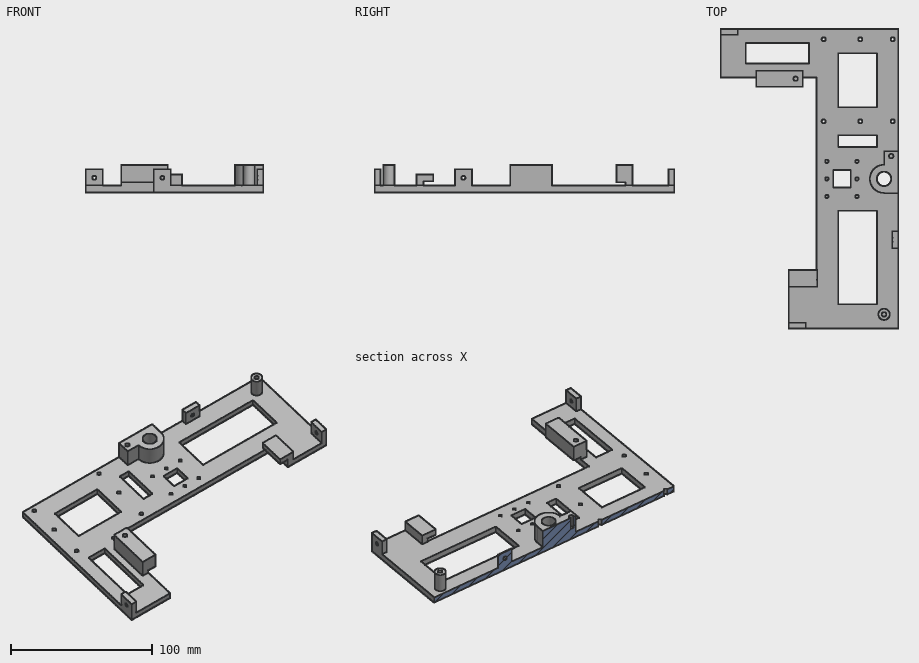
import cadquery as cq


length_x = 125.6
length_y = 211.8
total_height = 19.5
plate_thickness = 5.0
strip_left = 67.6
upper_arm_depth = 34.5
upper_arm_edge = length_y - upper_arm_depth
lower_arm_left = 48.1
lower_arm_depth = 34.5

window_left = 83.2
window_width = 27.3
large_window_bottom = 17.2
large_window_height = 66.0
narrow_window_bottom = 128.5
narrow_window_height = 8.0
upper_window_bottom = 156.6
upper_window_height = 38.0
arm_window_left = 17.9
arm_window_bottom = 187.4
arm_window_width = 44.5
arm_window_height = 14.4

square_center_x = 85.7
square_center_y = 105.8
square_side = 12.2
small_hole_diameter = 2.2
small_hole_spacing_x = 21.3
small_hole_spacing_y = 12.4

board_hole_diameter = 2.7
board_hole_columns = (72.8, 98.7, 121.6)
board_hole_rows = (146.5, 204.5)

tab_width = 12.2
tab_thickness = 4.2
tab_height = 16.5
tab_hole_height = 10.4
tab_hole_diameter = 2.7
side_tab_bottom = 56.6

screw_hole_diameter = 3.2
screw_hole_depth = 10.0

block_left = 25.1
block_bottom = 170.9
block_width = 33.0
block_depth = 11.5
block_underside = 7.2
block_hole_x = 53.0
block_hole_y = 176.6

hook_width = 20.1
hook_outer_y = 29.5
hook_reach = 12.0
hook_top = 12.8
hook_underside = 7.8

boss_x = 115.5
boss_y = 105.8
boss_radius = 10.0
boss_bore_diameter = 10.0
shoulder_top_y = 125.5
shoulder_hole_x = 120.6
shoulder_hole_y = 121.9

post_x = boss_x
post_y = 10.0
post_diameter = 8.0


def box(left, bottom, width, depth, z_low, z_high):
    """Box given by its lower left corner, its plan size and its two levels."""
    size_z = z_high - z_low
    return cq.Workplane("XY").box(width, depth, size_z, centered=False).translate((left, bottom, z_low))


def upright_cylinder(x, y, diameter, z_low, z_high):
    return cq.Workplane("XY", origin=(x, y, z_low)).circle(diameter / 2).extrude(z_high - z_low)


def screw_hole(x, y):
    return upright_cylinder(x, y, screw_hole_diameter, total_height - screw_hole_depth, total_height)


def plate_window(left, bottom, width, depth):
    return box(left, bottom, width, depth, 0, plate_thickness)


def make_plate():
    outline = [
        (lower_arm_left, 0),
        (length_x, 0),
        (length_x, length_y),
        (0, length_y),
        (0, upper_arm_edge),
        (strip_left, upper_arm_edge),
        (strip_left, lower_arm_depth),
        (lower_arm_left, lower_arm_depth),
    ]
    plate = cq.Workplane("XY").polyline(outline).close().extrude(plate_thickness)
    for bottom, height in (
        (large_window_bottom, large_window_height),
        (narrow_window_bottom, narrow_window_height),
        (upper_window_bottom, upper_window_height),
    ):
        plate = plate.cut(plate_window(window_left, bottom, window_width, height))
    plate = plate.cut(plate_window(arm_window_left, arm_window_bottom, arm_window_width, arm_window_height))
    square_left = square_center_x - square_side / 2
    square_bottom = square_center_y - square_side / 2
    plate = plate.cut(plate_window(square_left, square_bottom, square_side, square_side))

    for x in board_hole_columns:
        for y in board_hole_rows:
            plate = plate.cut(upright_cylinder(x, y, board_hole_diameter, 0, plate_thickness))
    for column in (-0.5, 0.5):
        for row in (-1, 0, 1):
            x = square_center_x + column * small_hole_spacing_x
            y = square_center_y + row * small_hole_spacing_y
            plate = plate.cut(upright_cylinder(x, y, small_hole_diameter, 0, plate_thickness))
    return plate


def end_tab(left, bottom):
    """Tab standing across Y, its hole running along Y."""
    tab = box(left, bottom, tab_width, tab_thickness, 0, tab_height)
    hole_plane = cq.Workplane("XZ", origin=(left + tab_width / 2, bottom, tab_hole_height))
    return tab.cut(hole_plane.circle(tab_hole_diameter / 2).extrude(-tab_thickness))


def side_tab():
    """Tab standing on the right edge, its hole running along X."""
    left = length_x - tab_thickness
    tab = box(left, side_tab_bottom, tab_thickness, tab_width, 0, tab_height)
    hole_plane = cq.Workplane("YZ", origin=(left, side_tab_bottom + tab_width / 2, tab_hole_height))
    return tab.cut(hole_plane.circle(tab_hole_diameter / 2).extrude(tab_thickness))


def overhanging_block():
    block = box(block_left, block_bottom, block_width, block_depth, block_underside, total_height)
    foot_depth = block_bottom + block_depth - upper_arm_edge
    foot = box(block_left, upper_arm_edge, block_width, foot_depth, 0, block_underside)
    return block.union(foot).cut(screw_hole(block_hole_x, block_hole_y))


def hook():
    leg_depth = lower_arm_depth - hook_outer_y
    leg = box(lower_arm_left, hook_outer_y, hook_width, leg_depth, 0, hook_top)
    lip = box(lower_arm_left, hook_outer_y, hook_width, hook_reach, hook_underside, hook_top)
    return leg.union(lip)


def ring_boss():
    boss = upright_cylinder(boss_x, boss_y, 2 * boss_radius, 0, total_height)
    boss_bottom = boss_y - boss_radius
    shoulder_width = length_x - boss_x
    shoulder_depth = shoulder_top_y - boss_bottom
    shoulder = box(boss_x, boss_bottom, shoulder_width, shoulder_depth, 0, total_height)
    return boss.union(shoulder).cut(screw_hole(shoulder_hole_x, shoulder_hole_y))


def post():
    cylinder = upright_cylinder(post_x, post_y, post_diameter, 0, total_height)
    return cylinder.cut(screw_hole(post_x, post_y))


result = (
    make_plate()
    .union(end_tab(0, length_y - tab_thickness))
    .union(end_tab(lower_arm_left, 0))
    .union(side_tab())
    .union(overhanging_block())
    .union(hook())
    .union(ring_boss())
    .union(post())
    .cut(upright_cylinder(boss_x, boss_y, boss_bore_diameter, 0, total_height))
)